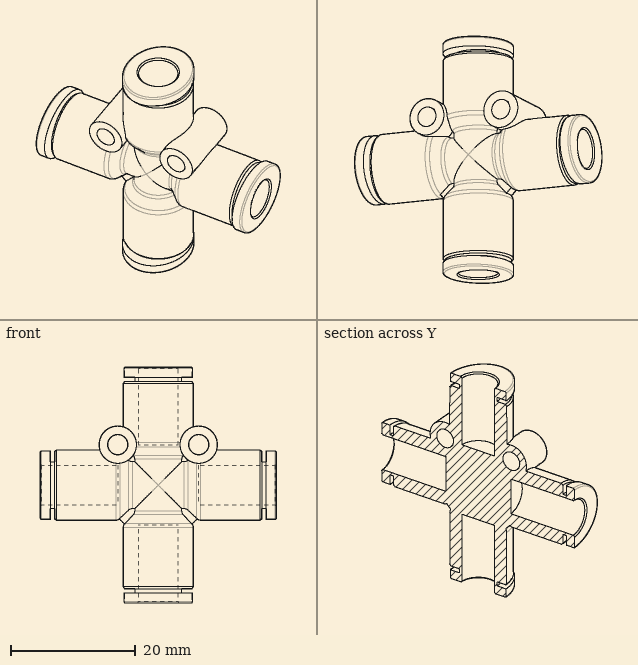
import cadquery as cq
import math

body_radius = 5.65
body_end = 16.65
body_edge_length = 0.35
body_edge_depth = 0.25

hub_radius = 3.9
cone_start = 4.5
cone_end = 6.43
cone_slope = math.atan2(body_radius - hub_radius, cone_end - cone_start)
cone_outer_fillet = 1.0
cone_inner_fillet = 0.85

part_half_length = 18.95
flange_thickness = 1.65
flange_half_width = 6.5
flange_half_height = 5.5
flange_edge_fillet = 0.25
neck_radius = 3.75
flange_start = part_half_length - flange_thickness

bore_radius = 3.15
bore_chamfer = 0.25
bore_floor = cone_end

web_thickness = 2.0
web_width = 1.8
web_reach = 8.25

lug_offset = 6.5
lug_radius = 3.0
lug_hole_radius = 1.6
lug_length = 2 * body_radius

ARM_ANGLES = (0, 90, 180, 270)
WEB_ANGLES = (45, 135)
LUG_SIDES = (-1, 1)
FULL_TURN = 360


def rounded_corner(wire, corner, angle_in, angle_out, fillet_radius):
    """Draw a line towards corner, then a tangent arc onto the line that leaves it."""
    axial, radial = corner
    tangent_length = fillet_radius * math.tan(abs(angle_out - angle_in) / 2)
    arc_start = (
        axial - tangent_length * math.cos(angle_in),
        radial - tangent_length * math.sin(angle_in),
    )
    arc_end = (
        axial + tangent_length * math.cos(angle_out),
        radial + tangent_length * math.sin(angle_out),
    )
    return wire.lineTo(*arc_start).tangentArcPoint(arc_end, relative=False)


def make_arm_body():
    """Hub pipe, cone, arm and sleeve neck along +X, revolved about X."""
    profile = cq.Workplane("XY").lineTo(0, hub_radius)
    profile = rounded_corner(profile, (cone_start, hub_radius), 0, cone_slope, cone_inner_fillet)
    profile = rounded_corner(profile, (cone_end, body_radius), cone_slope, 0, cone_outer_fillet)
    profile = (
        profile.lineTo(body_end - body_edge_length, body_radius)
        .lineTo(body_end, body_radius - body_edge_depth)
        .lineTo(body_end, neck_radius)
        .lineTo(flange_start, neck_radius)
        .lineTo(flange_start, 0)
        .close()
    )
    return profile.revolve(FULL_TURN, (0, 0, 0), (1, 0, 0))


def make_flange():
    """Oval sleeve flange on the +X arm, rounded on its outer edge."""
    return (
        cq.Workplane("YZ", origin=(flange_start, 0, 0))
        .ellipse(flange_half_width, flange_half_height)
        .extrude(flange_thickness)
        .faces(">X")
        .edges()
        .fillet(flange_edge_fillet)
    )


def make_bore():
    """Tool for the blind bore of the +X arm, with its chamfered mouth."""
    mouth_radius = bore_radius + bore_chamfer
    return (
        cq.Workplane("XY")
        .moveTo(bore_floor, 0)
        .lineTo(bore_floor, bore_radius)
        .lineTo(part_half_length - bore_chamfer, bore_radius)
        .lineTo(part_half_length, mouth_radius)
        .lineTo(part_half_length, 0)
        .close()
        .revolve(FULL_TURN, (0, 0, 0), (1, 0, 0))
    )


def turned(shape, angle):
    """Turn a shape about the Y axis."""
    return shape.rotate((0, 0, 0), (0, 1, 0), angle)


def make_web():
    """Bar along X through the centre; turned diagonally it fills two opposite corners."""
    return cq.Workplane("XY").box(2 * web_reach, web_thickness, web_width)


def lug_cylinder(side, radius):
    """Cylinder along Y at the lug axis on the given side of the upper arm."""
    return (
        cq.Workplane("XZ", origin=(side * lug_offset, 0, lug_offset))
        .circle(radius)
        .extrude(lug_length / 2, both=True)
    )


arm = make_arm_body().union(make_flange())
web = make_web()
bore = make_bore()

result = arm
for angle in ARM_ANGLES[1:]:
    result = result.union(turned(arm, angle))
for angle in WEB_ANGLES:
    result = result.union(turned(web, angle))
for side in LUG_SIDES:
    result = result.union(lug_cylinder(side, lug_radius))
for side in LUG_SIDES:
    result = result.cut(lug_cylinder(side, lug_hole_radius))
for angle in ARM_ANGLES:
    result = result.cut(turned(bore, angle))